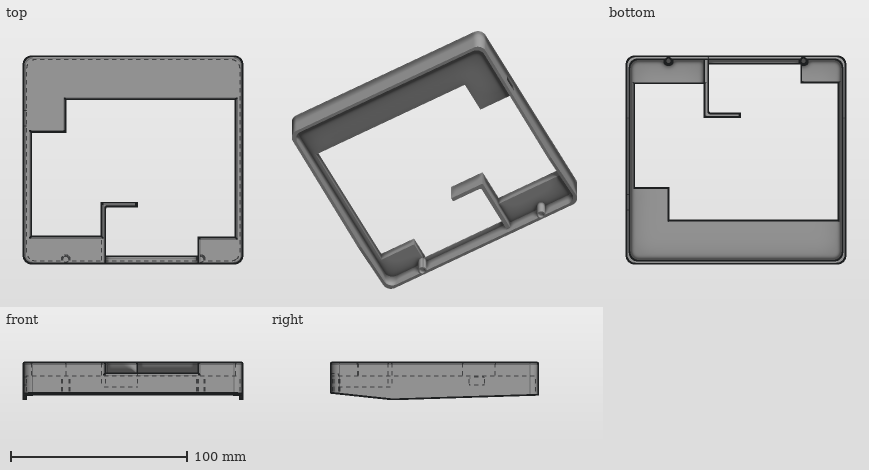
import cadquery as cq

length_x = 124.2
width_y = 117.6
height = 21.0
corner_radius = 5.0
edge_radius = 1.0
select_margin = 0.01
half_x = length_x / 2
half_y = width_y / 2

ridge_y = -24.0
rear_rise = 2.6
front_rise = 3.7

wall = 1.7
cavity_radius = 5.0
plate_thickness = 7.5
plate_bottom = height - plate_thickness

ledge = 4.3
window_right = 58.0
window_left = -57.6
window_rear = 34.3
rear_tab_x = -38.1
rear_tab_y = 15.8
left_tab_y = -43.3
right_tab_x = 36.9
right_tab_y = -43.8
window_front = -half_y + ledge

boss_x = 38.3
boss_y = -56.1
boss_diameter = 5.0
boss_hole = 3.5

screen_thickness = 2.2
screen_depth = 13.7
screen_inner_x = -15.7
screen_outer_x = screen_inner_x - screen_thickness
screen_outer_y = -24.2
screen_inner_y = screen_outer_y - screen_thickness
screen_end_x = 2.4

notch_depth = 6.1
notch_floor = height - notch_depth

port_y = 23.8
port_depth = 10.4
port_width = 8.8
port_height = 4.5
port_small_radius = 0.7
port_large_radius = 1.7


def box(x0, x1, y0, y1, z0, z1):
    """Axis-aligned box between two opposite corners."""
    return cq.Workplane("XY").box(x1 - x0, y1 - y0, z1 - z0, centered=False).translate((x0, y0, z0))


def boss_cylinders(diameter):
    """Upright cylinders at the screw positions, up to the underside of the plate."""
    points = [(-boss_x, boss_y), (boss_x, boss_y)]
    return cq.Workplane("XY").pushPoints(points).circle(diameter / 2).extrude(plate_bottom)


def make_shell():
    """Rounded block with a sloped underside, hollowed below the top plate."""
    block = cq.Workplane("XY").box(length_x, width_y, height, centered=(True, True, False))
    block = block.edges("|Z").fillet(corner_radius)
    profile = [
        (-half_y, height),
        (-half_y, front_rise),
        (ridge_y, 0),
        (half_y, rear_rise),
        (half_y, height),
    ]
    side_profile = cq.Workplane("YZ").polyline(profile).close().extrude(half_x, both=True)
    cavity = (
        cq.Workplane("XY")
        .box(length_x - 2 * wall, width_y - 2 * wall, plate_bottom, centered=(True, True, False))
        .edges("|Z")
        .fillet(cavity_radius)
    )
    hollow = cavity.cut(boss_cylinders(boss_diameter)).union(boss_cylinders(boss_hole))
    return block.intersect(side_profile).cut(hollow)


def make_window():
    """Stepped opening through the top plate."""
    outline = [
        (rear_tab_x, window_rear),
        (window_right, window_rear),
        (window_right, right_tab_y),
        (right_tab_x, right_tab_y),
        (right_tab_x, window_front),
        (screen_inner_x, window_front),
        (screen_inner_x, left_tab_y),
        (window_left, left_tab_y),
        (window_left, rear_tab_y),
        (rear_tab_x, rear_tab_y),
    ]
    return cq.Workplane("XY").polyline(outline).close().extrude(height)


def make_screen():
    """Thin L-shaped wall running back from the front wall, rounded in its inner corner."""
    bottom = height - screen_depth
    leg = box(screen_outer_x, screen_inner_x, -half_y + wall, screen_outer_y, bottom, height)
    arm = box(screen_outer_x, screen_end_x, screen_inner_y, screen_outer_y, bottom, height)
    screen = leg.union(arm)
    corner_point = (screen_inner_x, screen_inner_y, bottom + screen_depth / 2)
    inner_corner = cq.selectors.NearestToPointSelector(corner_point)
    return screen.edges("|Z").edges(inner_corner).fillet(edge_radius)


def make_notch():
    """Gap in the upper part of the front wall, from the screen to the right tab."""
    return box(screen_inner_x, right_tab_x, -half_y, window_front, notch_floor, height)


def make_port():
    """Connector opening whose upper front corner is rounded more than the others."""
    port = (
        cq.Workplane("YZ", origin=(-half_x, port_y, height - port_depth))
        .rect(port_width, port_height)
        .extrude(2 * wall, both=True)
    )
    port = port.faces(">Y").edges("|X").fillet(port_small_radius)
    port = port.faces("<Y").edges("|X").edges("<Z").fillet(port_small_radius)
    return port.faces("<Y").edges("|X").edges(">Z").fillet(port_large_radius)


def round_edges(body):
    """Round the top edges, and the notch edges where it meets the front wall."""
    notch_floor_edges = cq.selectors.BoxSelector(
        (screen_inner_x - select_margin, -half_y - select_margin, notch_floor - select_margin),
        (right_tab_x + select_margin, window_front + select_margin, notch_floor + select_margin),
    )
    notch_side_edges = cq.selectors.BoxSelector(
        (screen_inner_x - select_margin, -half_y - select_margin, notch_floor),
        (right_tab_x + select_margin, -half_y + select_margin, height),
    )
    top = body.faces(">Z").edges()
    floor = body.edges("|X").edges(notch_floor_edges)
    sides = body.edges("|Z").edges(notch_side_edges)
    return top.add(floor).add(sides).fillet(edge_radius)


body = make_shell().cut(make_window()).union(make_screen())
body = body.cut(make_notch())
result = round_edges(body).cut(make_port())